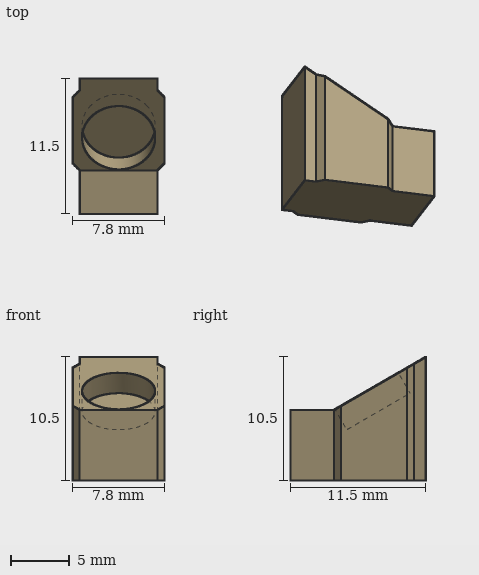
import cadquery as cq
import math

body_width = 7.8
corner_cut = 0.6
nose_length = 3.7
nose_height = 6.0
wide_length = 5.6
tail_length = 1.0
slope_angle = 30.0

pocket_diameter = 6.2
pocket_depth = 2.0
pocket_wall = 0.1

half_width = body_width / 2
half_neck = half_width - corner_cut
wide_start = nose_length + corner_cut
wide_end = wide_start + wide_length
tail_start = wide_end + corner_cut
total_length = tail_start + tail_length
slope_run = total_length - nose_length
total_height = nose_height + slope_run * math.tan(math.radians(slope_angle))


def make_plan_prism():
    """Plan outline with narrow ends and a wide middle, extruded to full height."""
    right_side = [
        (half_neck, 0),
        (half_neck, nose_length),
        (half_width, wide_start),
        (half_width, wide_end),
        (half_neck, tail_start),
        (half_neck, total_length),
    ]
    left_side = [(-x, y) for x, y in reversed(right_side)]
    return cq.Workplane("XY").polyline(right_side + left_side).close().extrude(total_height)


def make_side_prism():
    """Side profile with the flat nose and the slope, extruded across the width."""
    profile = [
        (0, 0),
        (total_length, 0),
        (total_length, total_height),
        (nose_length, nose_height),
        (0, nose_height),
    ]
    return cq.Workplane("YZ").polyline(profile).close().extrude(half_width, both=True)


def make_pocket():
    """Blind round pocket sunk square into the slope."""
    angle = math.radians(slope_angle)
    center_along_slope = pocket_wall + pocket_diameter / 2
    slope_plane = cq.Plane(
        origin=(
            0,
            nose_length + center_along_slope * math.cos(angle),
            nose_height + center_along_slope * math.sin(angle),
        ),
        xDir=(1, 0, 0),
        normal=(0, -math.sin(angle), math.cos(angle)),
    )
    return cq.Workplane(slope_plane).circle(pocket_diameter / 2).extrude(-pocket_depth)


result = make_plan_prism().intersect(make_side_prism()).cut(make_pocket())